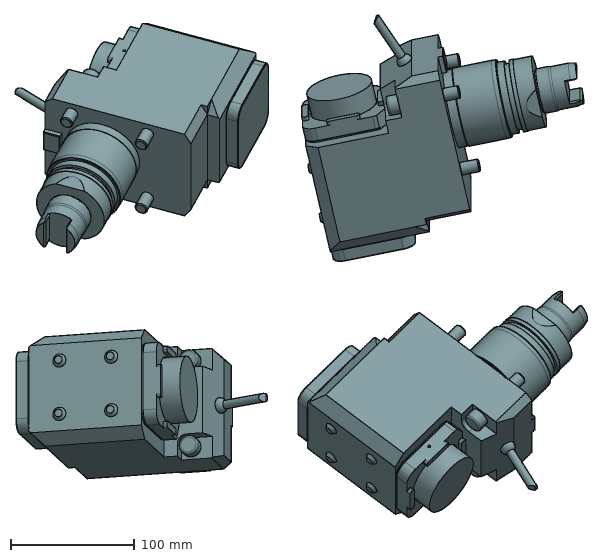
import cadquery as cq
import math


height = 92.0
half_height = height / 2
base_left = -50.3
base_right = 76.6
base_depth = 37.0
shelf_y = 50.3
back_y = 119.2
upper_left = -7.5
upper_right = 87.5
slant_start_y = 22.0
slant_angle = 20.2
left_bevel_x = 6.5
left_bevel_z = 5.5
right_bevel_x = 5.5
right_bevel_z = 9.0
back_bevel_y = 10.3
back_bevel_z = 9.4
side_bevel = upper_right - base_right
overhang_bevel = 9.4

screw_half_pitch_z = 36.0
screw_left_x = -27.0
screw_right_x = 39.0
screw_diameter = 10.5
screw_chamfer = 1.0
screw_left_length = 12.8
screw_right_length = 15.0
head_diameter = 16.0
head_height = 9.8
head_radius = 1.5
pocket_clearance = 0.2

flange_size = 68.6
flange_y = back_y - flange_size / 2
flange_radius = 10.3
flange_edge = 0.7
right_flange_thickness = 11.0
left_flange_thickness = 12.5
left_flange_seat = 1.4
corner_cut_y = 7.3
corner_cut_z = 13.0

cover_diameter = 54.0
cover_recess_diameter = 55.0
cover_recess_depth = 1.1
cover_length = 17.8
tab_length = 27.2
tab_width = 5.5
tab_height = 3.5
tab_radius = 2.0
pin_hole_diameter = 2.1
pin_hole_depth = 4.5
pin_hole_x = -14.2

neck_diameter = 64.0
neck_end = 7.5
sleeve_diameter = 65.0
sleeve_band = 40.3
sleeve_end_diameter = 64.5
sleeve_end = 44.5
sleeve_chamfer = 0.7
collar_diameter = 60.0
groove_diameter = 55.0
groove_start = 50.3
groove_end = 54.5
collar_end = 58.0
nose_diameter = 59.0
nose_end = 73.0
nose_flat_length = 10.3
nose_flat_angle = 15.0
nose_flat_end_z = 26.8
relief_diameter = 35.0
relief_end = 74.1
shaft_diameter = 37.0
shaft_end = 84.5
tang_diameter = 36.0
tang_start = 86.3
tang_taper_start = 101.1
tang_end_diameter = 33.9
spindle_end = 106.6
slot_width = 17.8
slot_floor = 96.3
slot_bevel = 1.4

key_width_x = 14.6
key_width_z = 20.0
key_height = 4.3
key_chamfer = 0.7
cable_x = -48.5
cable_y = 28.0
cable_diameter = 7.0
cable_length = 45.0
cable_ball_radius = 6.5
cable_bevel_length = 4.0
cable_bevel_height = 4.8
plug_base_diameter = 11.0
plug_top_diameter = 6.5
plug_height = 3.0
plug_xs = (17.8, 61.5)
plug_half_pitch_z = 22.5


def box(x0, x1, y0, y1, z0, z1):
    """Axis-aligned box between two opposite corners."""
    return cq.Workplane("XY").box(x1 - x0, y1 - y0, z1 - z0, centered=False).translate((x0, y0, z0))


def cylinder_y(diameter, x, z, y0, y1):
    """Cylinder along +Y from y0 to y1."""
    disc = cq.Workplane("XZ", origin=(x, y0, z)).circle(diameter / 2)
    return disc.extrude(y0 - y1)


def both_sides(shape):
    """A shape together with its mirror image about Z = 0."""
    return shape.union(shape.mirror("XY"))


def bevel_along_y(corner_x, size_x, size_z, y0, y1):
    """Triangular prisms at the upper and lower edge; size_x points into the material."""
    section = cq.Workplane("XZ", origin=(0, y0, 0)).polyline([
        (corner_x, half_height),
        (corner_x + size_x, half_height),
        (corner_x, half_height - size_z),
    ]).close()
    return both_sides(section.extrude(y0 - y1))


def bevel_along_x(corner_y, size_y, size_z, x0, x1):
    """Triangular prisms at the upper and lower edge; size_y points into the material."""
    section = cq.Workplane("YZ", origin=(x0, 0, 0)).polyline([
        (corner_y, half_height),
        (corner_y + size_y, half_height),
        (corner_y, half_height - size_z),
    ]).close()
    return both_sides(section.extrude(x1 - x0))


def make_housing():
    slant_run = (shelf_y - slant_start_y) * math.tan(math.radians(slant_angle))
    base = cq.Workplane("XY", origin=(0, 0, -half_height)).polyline([
        (base_left, 0),
        (base_right, 0),
        (base_right, shelf_y),
        (base_left + slant_run, shelf_y),
        (base_left, slant_start_y),
    ]).close().extrude(height)
    base = base.cut(bevel_along_y(base_left, left_bevel_x, left_bevel_z, 0, shelf_y))
    base = base.cut(bevel_along_y(base_right, -right_bevel_x, right_bevel_z, 0, base_depth))

    pocket_edge = screw_left_x + head_diameter / 2 + pocket_clearance
    pocket_z = screw_half_pitch_z - head_diameter / 2
    pocket = box(base_left, pocket_edge, base_depth, shelf_y, pocket_z, half_height)
    pocket = pocket.edges("|Y and >X and <Z").fillet(head_diameter / 2)
    base = base.cut(both_sides(pocket))

    upper = box(upper_left, upper_right, base_depth, back_y, -half_height, half_height)
    upper = upper.cut(bevel_along_x(back_y, -back_bevel_y, back_bevel_z, upper_left, upper_right))
    upper = upper.cut(bevel_along_y(upper_right, -side_bevel, side_bevel, base_depth, back_y))
    overhang = bevel_along_x(base_depth, overhang_bevel, overhang_bevel, base_right, upper_right)
    return base.union(upper.cut(overhang))


def flange_plate(x0, x1, size):
    """Square plate with round corners, centred on the cross axis."""
    half = size / 2
    plate = box(x0, x1, flange_y - half, flange_y + half, -half, half)
    return plate.edges("|X").fillet(flange_radius)


def make_right_flange():
    plate = flange_plate(upper_right, upper_right + right_flange_thickness, flange_size)
    return plate.faces("<X or >X").edges().chamfer(flange_edge)


def make_left_flange():
    outer_x = upper_left - left_flange_thickness
    seat_x = upper_left - left_flange_seat
    half = flange_size / 2
    flange = flange_plate(outer_x, seat_x, flange_size)
    flange = flange.union(flange_plate(seat_x, upper_left, flange_size - 2 * flange_edge))

    front_y = flange_y - half
    corner = cq.Workplane("YZ", origin=(outer_x, 0, 0)).polyline([
        (front_y, half),
        (front_y + corner_cut_y, half),
        (front_y, half - corner_cut_z),
    ]).close().extrude(left_flange_thickness)
    flange = flange.cut(both_sides(corner))

    face = cq.Workplane("YZ", origin=(outer_x, flange_y, 0))
    flange = flange.cut(face.circle(cover_recess_diameter / 2).extrude(cover_recess_depth))
    recess_floor = face.workplane(offset=cover_recess_depth)
    cover = recess_floor.circle(cover_diameter / 2).extrude(-cover_length - cover_recess_depth)
    flange = flange.union(cover)

    tab = face.center(0, half - tab_width / 2).rect(tab_length, tab_width).extrude(-tab_height)
    tab = tab.edges("|X").fillet(tab_radius)
    for turn in range(4):
        flange = flange.union(tab.rotate((0, flange_y, 0), (1, flange_y, 0), 90 * turn))

    pin_hole = cq.Workplane("XY", origin=(pin_hole_x, flange_y, half)).circle(pin_hole_diameter / 2)
    return flange.cut(pin_hole.extrude(-pin_hole_depth))


def make_spindle():
    steps = [
        (neck_diameter, 0),
        (neck_diameter, neck_end),
        (sleeve_diameter - 2 * sleeve_chamfer, neck_end),
        (sleeve_diameter, neck_end + sleeve_chamfer),
        (sleeve_diameter, sleeve_band),
        (sleeve_end_diameter, sleeve_end - sleeve_chamfer),
        (sleeve_end_diameter - 2 * sleeve_chamfer, sleeve_end),
        (collar_diameter, sleeve_end),
        (collar_diameter, groove_start),
        (groove_diameter, groove_start),
        (groove_diameter, groove_end),
        (collar_diameter, groove_end),
        (collar_diameter, collar_end),
        (nose_diameter, collar_end),
        (nose_diameter, nose_end),
        (relief_diameter, nose_end),
        (relief_diameter, relief_end),
        (shaft_diameter, relief_end),
        (shaft_diameter, shaft_end),
        (tang_diameter, tang_start),
        (tang_diameter, tang_taper_start),
        (tang_end_diameter, spindle_end),
    ]
    outline = [(0, 0)] + [(diameter / 2, -distance) for diameter, distance in steps]
    outline.append((0, -spindle_end))
    spindle = cq.Workplane("XY").polyline(outline).close().revolve(360, (0, 0, 0), (0, 1, 0))

    flat_rise = nose_flat_length * math.tan(math.radians(nose_flat_angle))
    flat = cq.Workplane("YZ", origin=(-nose_diameter / 2, 0, 0)).polyline([
        (-nose_end, nose_flat_end_z),
        (nose_flat_length - nose_end, nose_flat_end_z + flat_rise),
        (nose_flat_length - nose_end, nose_diameter),
        (-nose_end, nose_diameter),
    ]).close().extrude(nose_diameter)
    spindle = spindle.cut(both_sides(flat))

    half_slot = slot_width / 2
    tang_radius = tang_diameter / 2
    bevel_x = half_slot + slot_bevel
    bevel_z = math.sqrt(tang_radius ** 2 - bevel_x ** 2)
    flare = tang_radius - bevel_z
    slot_profile = [
        (half_slot, 0),
        (half_slot, bevel_z - slot_bevel),
        (bevel_x + flare, tang_radius),
        (0, tang_radius),
        (0, 0),
    ]
    quarter = cq.Workplane("XZ", origin=(0, -slot_floor, 0)).polyline(slot_profile).close()
    half_cut = both_sides(quarter.extrude(spindle_end - slot_floor))
    mouth = cq.Workplane("XY", origin=(0, 0, -tang_radius)).polyline([
        (0, -spindle_end),
        (bevel_x, -spindle_end),
        (half_slot, slot_bevel - spindle_end),
        (0, slot_bevel - spindle_end),
    ]).close().extrude(tang_diameter)
    half_cut = half_cut.union(mouth)
    return spindle.cut(half_cut).cut(half_cut.mirror("YZ"))


def make_screws():
    screws = cq.Workplane("XY")
    for x, length in ((screw_left_x, screw_left_length), (screw_right_x, screw_right_length)):
        shank = cylinder_y(screw_diameter, x, screw_half_pitch_z, -length, base_depth)
        screws = screws.union(both_sides(shank.faces("<Y").chamfer(screw_chamfer)))
    head_top = base_depth + head_height
    head = cylinder_y(head_diameter, screw_left_x, screw_half_pitch_z, base_depth, head_top)
    return screws.union(both_sides(head.faces(">Y").edges().fillet(head_radius)))


def make_key():
    half_width = key_width_z / 2
    key = box(base_left, base_left + key_width_x, -key_height, 0, -half_width, half_width)
    return key.faces("<Y").edges().chamfer(key_chamfer)


def make_cable():
    """Cable built along -X from the origin, then tilted square to the slanted face."""
    radius = cable_diameter / 2
    cable = cq.Workplane("YZ").circle(radius).extrude(-cable_length)
    tip_bevel = cq.Workplane("XY", origin=(0, 0, -radius)).polyline([
        (-cable_length, radius),
        (cable_bevel_length - cable_length, radius),
        (-cable_length, radius - cable_bevel_height),
    ]).close().extrude(cable_diameter)
    cable = cable.cut(tip_bevel).union(cq.Workplane("XY").sphere(cable_ball_radius))
    return cable.rotate((0, 0, 0), (0, 0, 1), -slant_angle).translate((cable_x, cable_y, 0))


def make_plugs():
    plugs = cq.Workplane("XY")
    for x in plug_xs:
        base = cq.Workplane("XZ", origin=(x, back_y, plug_half_pitch_z)).circle(plug_base_diameter / 2)
        cone = base.workplane(offset=-plug_height).circle(plug_top_diameter / 2).loft()
        plugs = plugs.union(both_sides(cone))
    return plugs


result = make_housing()
for piece in (
    make_left_flange(),
    make_right_flange(),
    make_spindle(),
    make_screws(),
    make_key(),
    make_cable(),
    make_plugs(),
):
    result = result.union(piece)